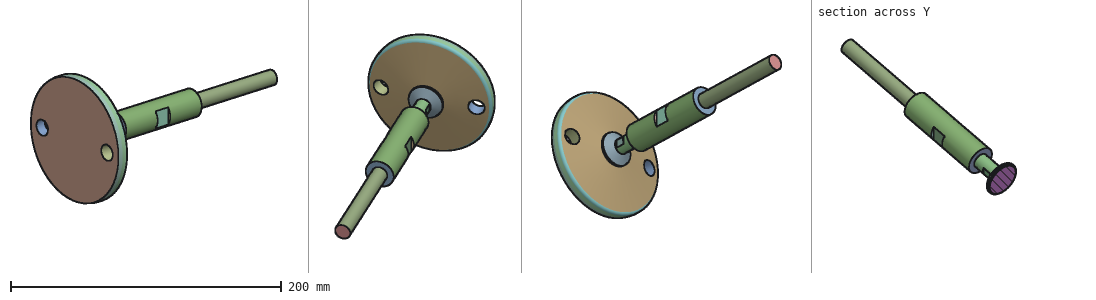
import cadquery as cq
import math


plate_radius = 98.0 / 2
underside_radius = 48.3
taper_height = 3.5
rim_height = 7.0
shoulder_radius = 2.4
slope_angle = 10.0
seat_radius = 12.5

fixing_hole_diameter = 12.5
fixing_hole_offset = 35.7
fixing_hole_reach = 19.7

total_length = 197.0
rod_diameter = 12.0
flange_radius = 13.4
flange_bottom = 16.2
flange_top = 18.0
flange_cone_top = 22.7
sleeve_diameter = 22.0
sleeve_bottom = 41.5
sleeve_length = 75.5

sleeve_flat_length = 12.6
sleeve_flat_width = 17.3
rod_flat_bottom = 23.8
rod_flat_top = 31.7
rod_flat_width = 10.2

slope = math.radians(slope_angle)
shoulder_center_radius = plate_radius - shoulder_radius


def shoulder_point(angle):
    """Point (radius, height) on the shoulder arc, angle measured from the radial direction."""
    return (
        shoulder_center_radius + shoulder_radius * math.cos(angle),
        rim_height + shoulder_radius * math.sin(angle),
    )


shoulder_end_angle = math.pi / 2 - slope
shoulder_end = shoulder_point(shoulder_end_angle)
seat_height = shoulder_end[1] + (shoulder_end[0] - seat_radius) * math.tan(slope)


def fixing_hole_cutter(side):
    """Cylinder leaning outwards, on the -X (side = -1) or +X (side = 1) side."""
    axis = cq.Vector(side * math.sin(slope), math.cos(slope), 0)
    start = cq.Vector(side * fixing_hole_offset, 0, 0) - axis * fixing_hole_reach
    return cq.Workplane(
        cq.Solid.makeCylinder(fixing_hole_diameter / 2, 2 * fixing_hole_reach, start, axis)
    )


def make_base_plate():
    plate = (
        cq.Workplane("XY")
        .lineTo(underside_radius, 0)
        .lineTo(plate_radius, taper_height)
        .lineTo(plate_radius, rim_height)
        .threePointArc(shoulder_point(shoulder_end_angle / 2), shoulder_end)
        .lineTo(seat_radius, seat_height)
        .lineTo(0, seat_height)
        .close()
        .revolve(360, (0, 0, 0), (0, 1, 0))
    )
    for side in (-1, 1):
        plate = plate.cut(fixing_hole_cutter(side))
    return plate


def cut_flats(body, bottom, length, width_across):
    """Cut two parallel flats, leaving width_across between them along X."""
    for side in (-1, 1):
        cutter = cq.Workplane("XY").box(sleeve_diameter, length, 2 * sleeve_diameter)
        center_x = side * (width_across + sleeve_diameter) / 2
        body = body.cut(cutter.translate((center_x, bottom + length / 2, 0)))
    return body


def make_spindle():
    rod_radius = rod_diameter / 2
    sleeve_radius = sleeve_diameter / 2
    sleeve_top = sleeve_bottom + sleeve_length
    spindle = (
        cq.Workplane("XY")
        .moveTo(0, seat_height)
        .lineTo(seat_radius, seat_height)
        .lineTo(flange_radius, flange_bottom)
        .lineTo(flange_radius, flange_top)
        .lineTo(rod_radius, flange_cone_top)
        .lineTo(rod_radius, sleeve_bottom)
        .lineTo(sleeve_radius, sleeve_bottom)
        .lineTo(sleeve_radius, sleeve_top)
        .lineTo(rod_radius, sleeve_top)
        .lineTo(rod_radius, total_length)
        .lineTo(0, total_length)
        .close()
        .revolve(360, (0, 0, 0), (0, 1, 0))
    )
    sleeve_flat_bottom = sleeve_bottom + (sleeve_length - sleeve_flat_length) / 2
    spindle = cut_flats(spindle, sleeve_flat_bottom, sleeve_flat_length, sleeve_flat_width)
    return cut_flats(spindle, rod_flat_bottom, rod_flat_top - rod_flat_bottom, rod_flat_width)


base_plate = make_base_plate()
spindle = make_spindle()
result = cq.Compound.makeCompound([base_plate.val(), spindle.val()])